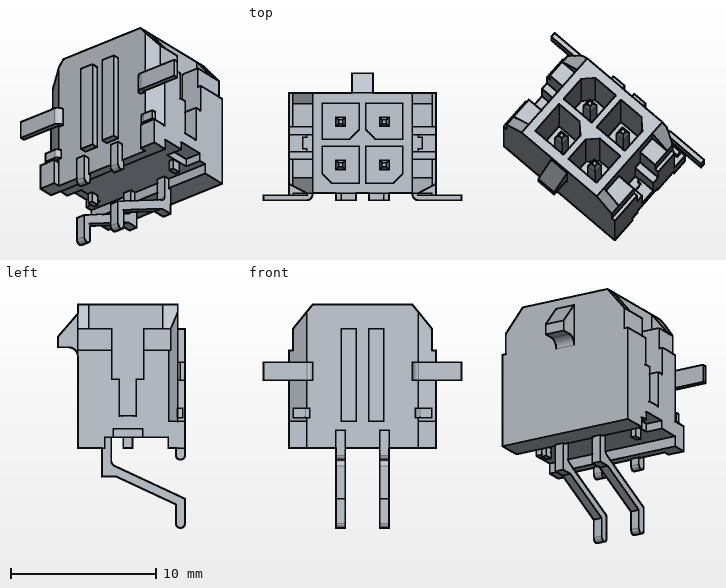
import cadquery as cq
import math


front_face_y = 0.5
back_face_y = 7.39
top_z = 9.9
core_half_width = 3.42
lower_half_width = 5.07
ear_half_width = 4.79
front_face_half_width = 3.83
shoulder_z = 6.73
ear_top_z = 8.22
corner_slant_y = 1.14

front_web_end_y = 1.55
back_web_start_y = 6.64

channel_center_y = 3.95
upper_channel_width = 2.22
upper_channel_floor_z = 4.76
lower_channel_width = 1.17
lower_channel_floor_z = 2.22
pocket_floor_z = 1.85
pocket_stem_width = 0.79
pocket_stem_end_x = 4.11

underside_z = 0.74
front_wall_back_y = 1.17
back_wall_front_y = 5.53
notch_width = 2.03
notch_top_z = 1.32

foot_height = 1.85
rib_inner_x = 0.43
rib_width = 1.03
rib_top_z = 8.21

column_pitch = 3.0
row_pitch = 2.97
pin = 0.65
pin_front_y = 2.43
pin_top_z = 7.7
pin_taper_height = 0.77
pin_tip = 0.28
cavity_floor_z = lower_channel_floor_z
overall_height = 15.4
tail_end_z = top_z - overall_height

cavity_inner_x = 0.23
cavity_width = 2.55
cavity_corner = 0.68
front_cavity_y = (1.17, 3.71)
back_cavity_y = (4.19, 6.68)

front_tail_top_z = 1.23
front_tail_end_z = -0.8
back_tail_heel_z = -1.95
back_tail_heel_length = 0.97
back_tail_toe_z = -3.48
back_tail_angle = 25.0
back_tail_bend_radius = 0.4

latch_width = 1.45
latch_tip_y = 8.76
latch_top_z = 9.25
latch_tip_top_z = 7.67
latch_bottom_z = 6.93
latch_fillet = 0.62

sheet = 0.35
clip_inner_x = 3.43
clip_tip_x = 6.82
clip_z = (4.67, 5.93)
clip_bend_radius = 0.4
small_tab_tip_x = 4.76
small_tab_z = (2.11, 2.75)
small_tab_front_y = 0.17
small_tab_bend_radius = 0.31
small_tab_inner_x = 3.62
embed = 0.15


def box(x_range, y_range, z_range):
    """Axis-aligned box between the given limits."""
    size = [high - low for low, high in (x_range, y_range, z_range)]
    corner = (x_range[0], y_range[0], z_range[0])
    return cq.Workplane("XY").box(*size, centered=False).translate(corner)


def around(center, width):
    """Limits of a span of the given width about its center."""
    return (center - width / 2, center + width / 2)


def both_sides(shape):
    """The shape together with its mirror image across X = 0."""
    return shape.union(shape.mirror("YZ"))


def housing_shell():
    """Stepped front silhouette with slanted front corners."""
    half_outline = [
        (0, 0),
        (lower_half_width, 0),
        (lower_half_width, shoulder_z),
        (ear_half_width, shoulder_z),
        (ear_half_width, ear_top_z),
        (core_half_width, top_z),
        (0, top_z),
    ]
    half = cq.Workplane("XZ", origin=(0, back_face_y, 0)).polyline(half_outline).close()
    half = half.extrude(back_face_y - front_face_y)
    corner = (
        cq.Workplane("XY")
        .polyline([
            (front_face_half_width, front_face_y),
            (lower_half_width, corner_slant_y),
            (lower_half_width, front_face_y),
        ])
        .close()
        .extrude(top_z)
    )
    return both_sides(half.cut(corner))


def side_recesses():
    """Flat ear tops, the stepped channel and the notch under one side."""
    inside_x = (core_half_width, lower_half_width)
    ear_top = box(inside_x, (front_web_end_y, back_web_start_y), (ear_top_z, top_z))
    upper = box(inside_x, around(channel_center_y, upper_channel_width), (upper_channel_floor_z, top_z))
    lower_y = around(channel_center_y, lower_channel_width)
    lower = box(inside_x, lower_y, (lower_channel_floor_z, top_z))
    pocket_z = (pocket_floor_z, lower_channel_floor_z)
    pocket = box((core_half_width, front_face_half_width), lower_y, pocket_z)
    stem_y = around(channel_center_y, pocket_stem_width)
    stem = box((core_half_width, pocket_stem_end_x), stem_y, pocket_z)
    notch_y = around(channel_center_y, notch_width)
    notch = box((front_face_half_width, lower_half_width), notch_y, (0, notch_top_z))
    return ear_top.union(upper).union(lower).union(pocket).union(stem).union(notch)


def underside_recess():
    x_range = (-lower_half_width, lower_half_width)
    return box(x_range, (front_wall_back_y, back_wall_front_y), (0, underside_z))


def cavity(y_range, cut_edge):
    """Contact cavity at +X with one of its front vertical edges chamfered."""
    x_range = (cavity_inner_x, cavity_inner_x + cavity_width)
    shape = box(x_range, y_range, (cavity_floor_z, top_z))
    return shape.faces("<Y").edges(cut_edge).chamfer(cavity_corner)


def contact_pin(y):
    """Square pin with a tapered tip standing in a cavity."""
    shaft_top_z = pin_top_z - pin_taper_height
    shaft = box(around(column_pitch / 2, pin), around(y, pin), (cavity_floor_z - embed, shaft_top_z))
    tip = (
        cq.Workplane("XY", origin=(column_pitch / 2, y, shaft_top_z))
        .rect(pin, pin)
        .workplane(offset=pin_taper_height)
        .rect(pin_tip, pin_tip)
        .loft()
    )
    return shaft.union(tip)


def tail_plane():
    """YZ workplane on the inner side of a tail."""
    return cq.Workplane("YZ", origin=(column_pitch / 2 - pin / 2, 0, 0))


def front_tail():
    """Short straight tail with a round end, half sunk in the front wall."""
    round_z = front_tail_end_z + pin / 2
    return (
        tail_plane()
        .moveTo(0, front_tail_top_z)
        .lineTo(0, round_z)
        .threePointArc((pin / 2, front_tail_end_z), (pin, round_z))
        .lineTo(pin, front_tail_top_z)
        .close()
        .extrude(pin)
    )


def back_tail():
    """Tail that drops, slopes forward to the mounting plane and ends round."""
    slope = math.tan(math.radians(back_tail_angle))
    back_y = pin_front_y + row_pitch + pin / 2
    inner_y = back_y - pin
    heel_y = back_y - back_tail_heel_length
    round_z = tail_end_z + pin / 2
    bend_z = back_tail_toe_z + slope * inner_y
    tail = (
        tail_plane()
        .moveTo(back_y, underside_z + embed)
        .lineTo(back_y, back_tail_heel_z)
        .lineTo(heel_y, back_tail_heel_z)
        .lineTo(pin, back_tail_heel_z - slope * (heel_y - pin))
        .lineTo(pin, round_z)
        .threePointArc((pin / 2, tail_end_z), (0, round_z))
        .lineTo(0, back_tail_toe_z)
        .lineTo(inner_y, bend_z)
        .lineTo(inner_y, underside_z + embed)
        .close()
        .extrude(pin)
    )
    inner_bend = cq.selectors.NearestToPointSelector((column_pitch / 2, inner_y, bend_z))
    return tail.edges("|X").edges(inner_bend).fillet(back_tail_bend_radius)


def latch():
    """Ramped catch on the back face with a filleted underside."""
    root_y = back_face_y - embed
    fillet_center = (back_face_y + latch_fillet, latch_bottom_z - latch_fillet)
    diagonal = latch_fillet * math.sqrt(0.5)
    return (
        cq.Workplane("YZ")
        .moveTo(root_y, latch_top_z)
        .lineTo(back_face_y, latch_top_z)
        .lineTo(latch_tip_y, latch_tip_top_z)
        .lineTo(latch_tip_y, latch_bottom_z)
        .lineTo(fillet_center[0], latch_bottom_z)
        .threePointArc(
            (fillet_center[0] - diagonal, fillet_center[1] + diagonal),
            (back_face_y, fillet_center[1]),
        )
        .lineTo(root_y, fillet_center[1])
        .close()
        .extrude(latch_width / 2, both=True)
    )


def bent_tab(inner_x, tip_x, outer_y, thickness, radius, z_range):
    """Strip that leaves the front face, bends outward and runs along X."""
    root_y = front_face_y + embed
    profile = cq.Workplane("XY", origin=(0, 0, z_range[0])).polyline([
        (inner_x, root_y),
        (inner_x, outer_y),
        (tip_x, outer_y),
        (tip_x, outer_y + thickness),
        (inner_x + thickness, outer_y + thickness),
        (inner_x + thickness, root_y),
    ]).close()
    strip = profile.extrude(z_range[1] - z_range[0])
    outer_bend = cq.selectors.NearestToPointSelector((inner_x, outer_y, sum(z_range) / 2))
    return strip.edges("|Z").edges(outer_bend).fillet(radius)


def clip_parts():
    """Large tab, small tab and bottom stub of the clip at +X."""
    large = bent_tab(clip_inner_x, clip_tip_x, 0, sheet, clip_bend_radius, clip_z)
    small = bent_tab(
        small_tab_inner_x, small_tab_tip_x, small_tab_front_y,
        front_face_y - small_tab_front_y, small_tab_bend_radius, small_tab_z,
    )
    stub_x = (clip_inner_x, clip_inner_x + sheet)
    stub = box(stub_x, around(channel_center_y, pin), (0, underside_z + embed))
    return [large, small, stub]


def foot():
    return box((front_face_half_width, lower_half_width), (0, corner_slant_y), (0, foot_height))


def rib():
    x_range = (rib_inner_x, rib_inner_x + rib_width)
    return box(x_range, (0, front_face_y), (foot_height, rib_top_z))


result = housing_shell().cut(both_sides(side_recesses())).cut(underside_recess())
for opening in [cavity(front_cavity_y, ">X"), cavity(back_cavity_y, "<X")]:
    result = result.cut(opening).cut(opening.mirror("YZ"))

mirrored_parts = [foot(), rib(), front_tail(), back_tail()]
mirrored_parts += [contact_pin(pin_front_y), contact_pin(pin_front_y + row_pitch)]
mirrored_parts += clip_parts()
for part in mirrored_parts:
    result = result.union(part).union(part.mirror("YZ"))
result = result.union(latch())